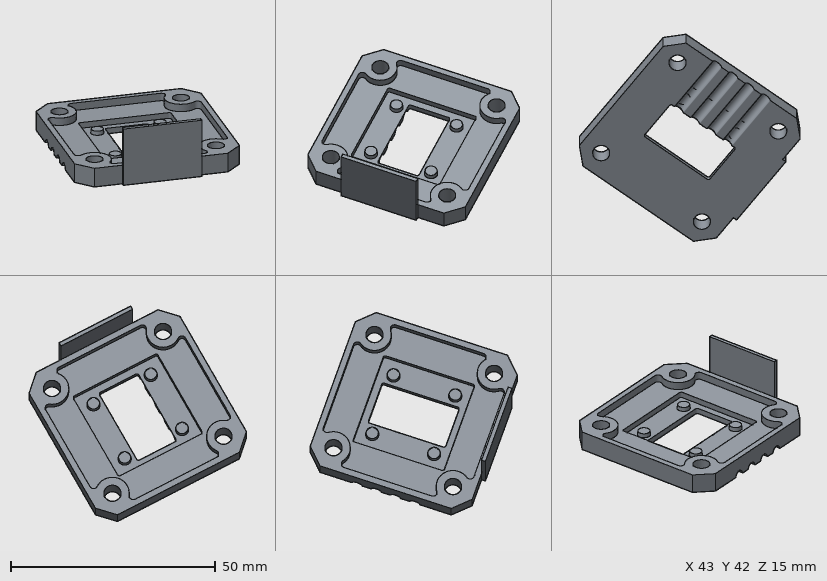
import cadquery as cq
import math

plate_side = 42.0
plate_height = 5.0
corner_cut_long = 4.1
corner_cut_short = 3.9

overall_length = 43.0
tab_thickness = overall_length - plate_side
tab_width = 20.0
tab_height = 15.0

hole_spacing = 30.95
hole_diameter = 4.15
boss_radius = 4.13

rim_width = 1.5
pocket_side = plate_side - 2 * rim_width
pocket_depth = 1.98
pocket_fillet = 1.0

recess_side = 23.55
recess_depth = 1.5
recess_fillet = 0.5
recess_floor = plate_height - pocket_depth - recess_depth
window_length = 20.0
window_width = 10.92
window_fillet = 0.5

peg_spacing = 16.0
peg_base_diameter = 3.25
peg_top_diameter = 2.95
peg_height = 1.05

groove_count = 4
groove_pitch = 5.0
groove_radius = 1.3
groove_lip_radius = 0.25


def make_plate():
    """Square plate with the same slightly skewed corner cut repeated every quarter turn."""
    half_side = plate_side / 2
    plate = cq.Workplane("XY").rect(plate_side, plate_side).extrude(plate_height)
    corner_cut = (
        cq.Workplane("XY").moveTo(half_side, -half_side)
        .lineTo(half_side - corner_cut_long, -half_side)
        .lineTo(half_side, corner_cut_short - half_side)
        .close().extrude(plate_height)
    )
    for quarter_turn in range(4):
        plate = plate.cut(corner_cut.rotate((0, 0, 0), (0, 0, 1), 90 * quarter_turn))
    return plate


def make_tab():
    tab = cq.Workplane("XY").box(tab_thickness, tab_width, tab_height, centered=(False, True, False))
    return tab.translate((plate_side / 2, 0, 0))


def make_pocket():
    """Square pocket whose corners are interrupted by the screw bosses."""
    pocket = cq.Workplane("XY").rect(pocket_side, pocket_side).extrude(pocket_depth)
    bosses = (
        cq.Workplane("XY").rect(hole_spacing, hole_spacing, forConstruction=True)
        .vertices().circle(boss_radius).extrude(pocket_depth)
    )
    corners = (
        cq.Workplane("XY").rect(plate_side, plate_side, forConstruction=True)
        .vertices().rect(plate_side - hole_spacing, plate_side - hole_spacing).extrude(pocket_depth)
    )
    pocket = pocket.cut(bosses).cut(corners)
    return pocket.edges("|Z").fillet(pocket_fillet).translate((0, 0, plate_height - pocket_depth))


def make_opening(length, width, corner_radius, bottom, top):
    """Rectangular cutter with rounded corners between two heights."""
    opening = cq.Workplane("XY").workplane(offset=bottom).rect(length, width).extrude(top - bottom)
    return opening.edges("|Z").fillet(corner_radius)


def make_holes():
    corners = cq.Workplane("XY").rect(hole_spacing, hole_spacing, forConstruction=True).vertices()
    return corners.circle(hole_diameter / 2).extrude(plate_height)


def make_pegs():
    taper = math.degrees(math.atan((peg_base_diameter - peg_top_diameter) / 2 / peg_height))
    places = (
        cq.Workplane("XY").workplane(offset=recess_floor)
        .rect(peg_spacing, peg_spacing, forConstruction=True).vertices()
    )
    return places.circle(peg_base_diameter / 2).extrude(peg_height, taper=taper)


def make_groove(x):
    """Round-topped groove flaring out through two rounded lips at the underside."""
    lip_x = math.sqrt((groove_radius + groove_lip_radius) ** 2 - groove_lip_radius ** 2)
    lip_angle = math.asin(groove_lip_radius / (groove_radius + groove_lip_radius))
    touch_x = groove_radius * math.cos(lip_angle)
    touch_z = groove_radius * math.sin(lip_angle)
    middle_angle = (math.pi + lip_angle + 1.5 * math.pi) / 2
    middle_x = lip_x + groove_lip_radius * math.cos(middle_angle)
    middle_z = groove_lip_radius + groove_lip_radius * math.sin(middle_angle)
    groove_length = (plate_side - window_width) / 2
    groove = (
        cq.Workplane("XZ").moveTo(-lip_x, 0)
        .threePointArc((-middle_x, middle_z), (-touch_x, touch_z))
        .threePointArc((0, groove_radius), (touch_x, touch_z))
        .threePointArc((middle_x, middle_z), (lip_x, 0))
        .close().extrude(groove_length)
    )
    return groove.translate((x, -window_width / 2, 0))


result = make_plate().union(make_tab())
result = result.cut(make_pocket())
result = result.cut(
    make_opening(recess_side, recess_side, recess_fillet, recess_floor, plate_height - pocket_depth)
)
result = result.cut(make_opening(window_length, window_width, window_fillet, 0, recess_floor))
result = result.cut(make_holes())
result = result.union(make_pegs())
for index in range(groove_count):
    groove_x = (index - (groove_count - 1) / 2) * groove_pitch
    result = result.cut(make_groove(groove_x))